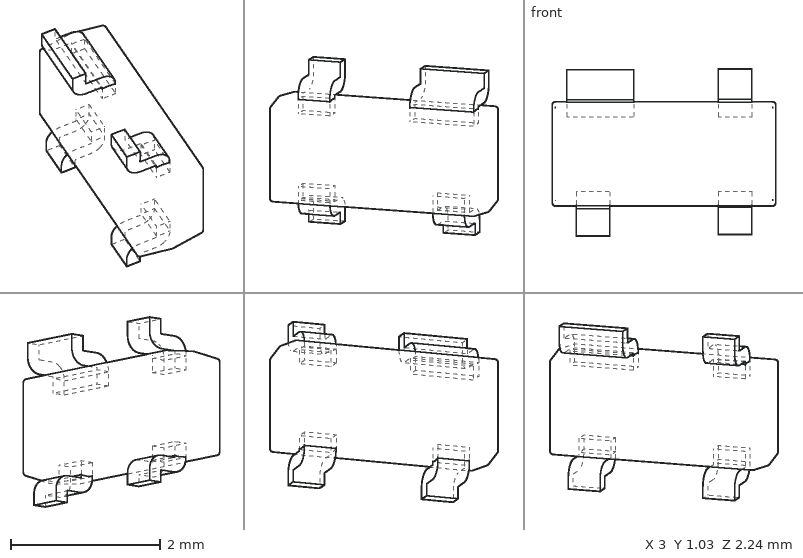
import cadquery as cq
import math

body_length = 3.0
body_height = 1.4
body_depth = 1.0
draft_angle = 5.0
edge_radius = 0.05

lead_thickness = 0.2
bend_inner_radius = 0.01
bend_outer_radius = bend_inner_radius + lead_thickness
stem_back = 0.117
foot_projection = 0.03
foot_front = -body_depth / 2 - foot_projection
socket_depth = 0.2
stem_root = body_height / 2 - socket_depth
lead_width = 0.45
wide_lead_width = 2 * lead_width
upper_foot_length = 0.195
lower_foot_length = 0.155
lead_x = 0.95
wide_lead_x = -0.855

leads_layout = [
    (1, wide_lead_x, wide_lead_width, 0.723, upper_foot_length),
    (1, lead_x, lead_width, 0.735, upper_foot_length),
    (-1, -lead_x, lead_width, 0.735, lower_foot_length),
    (-1, lead_x, lead_width, 0.717, lower_foot_length),
]


def make_body_half(y_direction):
    """Half of the package, tapering away from the parting plane."""
    return (
        cq.Workplane("XZ")
        .rect(body_length, body_height)
        .extrude(-y_direction * body_depth / 2, taper=draft_angle)
    )


def make_body():
    """Both halves as one solid, rounded on every edge but the parting line."""
    body = make_body_half(1).union(make_body_half(-1))
    parting_edges = cq.selectors.BoxSelector(
        (-body_length, -edge_radius, -body_height),
        (body_length, edge_radius, body_height),
    )
    return body.edges(cq.selectors.InverseSelector(parting_edges)).fillet(edge_radius)


def make_lead(side, centre_x, width, run_inner, foot_length):
    """One S-bent lead whose stem goes straight down into the body."""
    stem_front = stem_back - lead_thickness
    foot_back = foot_front + lead_thickness
    run_outer = run_inner + lead_thickness
    stem_bend_z = run_inner - bend_inner_radius
    foot_bend_z = run_outer + bend_inner_radius
    foot_tip = foot_bend_z + foot_length
    stem_bend_y = stem_front - bend_inner_radius
    foot_bend_y = foot_back + bend_inner_radius

    diagonal = math.sqrt(0.5)
    inner_reach = bend_inner_radius * diagonal
    outer_reach = bend_outer_radius * diagonal

    lead = (
        cq.Workplane("YZ")
        .moveTo(stem_back, stem_root)
        .lineTo(stem_back, stem_bend_z)
        .threePointArc(
            (stem_bend_y + outer_reach, stem_bend_z + outer_reach), (stem_bend_y, run_outer)
        )
        .lineTo(foot_bend_y, run_outer)
        .threePointArc(
            (foot_bend_y - inner_reach, foot_bend_z - inner_reach), (foot_back, foot_bend_z)
        )
        .lineTo(foot_back, foot_tip)
        .lineTo(foot_front, foot_tip)
        .lineTo(foot_front, foot_bend_z)
        .threePointArc(
            (foot_bend_y - outer_reach, foot_bend_z - outer_reach), (foot_bend_y, run_inner)
        )
        .lineTo(stem_bend_y, run_inner)
        .threePointArc(
            (stem_bend_y + inner_reach, stem_bend_z + inner_reach), (stem_front, stem_bend_z)
        )
        .lineTo(stem_front, stem_root)
        .close()
        .extrude(width / 2, both=True)
        .translate((centre_x, 0, 0))
    )
    if side < 0:
        lead = lead.mirror("XY")
    return lead


leads = [make_lead(*placement) for placement in leads_layout]

body = make_body()
for lead in leads:
    body = body.cut(lead)

result = cq.Compound.makeCompound([body.val(), *[lead.val() for lead in leads]])